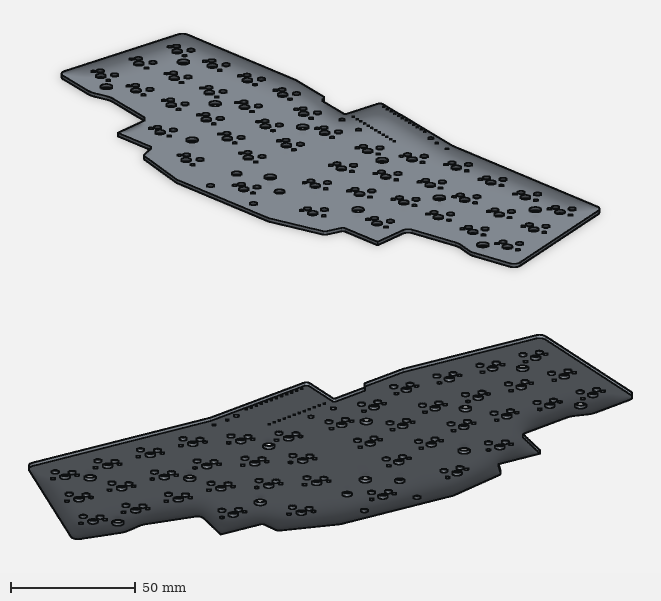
import cadquery as cq
import math


length = 253.3
depth = 107.2
thickness = 1.6
half_length = length / 2
half_depth = depth / 2

half_tilt = 10.0
column_stagger = 3.5
columns_before_peak = 3
column_count = 6
row_count = 3
column_span = 95.3
key_pitch = column_span / (column_count - 1)
first_key = (106.5, 31.5)

outer_thumb = (60.3, -26.9)
inner_thumb = (35.2, -38.0)
inner_thumb_tilt = 15.0
center_key = (0.0, -41.3)

stem_diameter = 4.0
pin_diameter = 3.0
peg_diameter = 1.75
pin_offsets = [(-3.8, 2.5), (2.5, 5.0)]
peg_reach = 5.0

stabilizer_reach = 12.0
stabilizer_large_diameter = 4.0
stabilizer_small_diameter = 3.0
stabilizer_large_rise = 8.4
stabilizer_small_drop = 6.8

screw_diameter = 4.8
side_screws = [(97.8, 26.0), (22.0, 16.2), (62.3, 7.3), (104.6, -11.7), (46.0, -23.0)]
center_screw = (0.0, -25.8)

controller_center = (1.3, 42.0)
pad_diameter = 0.8
pad_pitch = 2.5
pads_per_row = 12
pad_row_spacing = 15.2

component_hole_diameter = 2.2
component_holes = [(-15.2, 32.0), (-4.0, 30.0), (22.3, 44.3)]
lead_hole_diameter = 1.3
lead_holes = [(27.0, 42.8), (33.7, 41.8)]

top_edge = 45.3
thumb_edge = -39.0
corner_radius = 3.0
small_radius = 1.5
wave_radius = 7.5
thumb_notch_x = 53.2
chin_shoulder = (50.5, -46.9)
chin_half_width = 25.5
tab_tip_overhang = 0.3
tilt_slope = math.tan(math.radians(half_tilt))


def rotated(point, degrees):
    """Turn a point counterclockwise about the origin."""
    angle = math.radians(degrees)
    x, y = point
    return (
        x * math.cos(angle) - y * math.sin(angle),
        x * math.sin(angle) + y * math.cos(angle),
    )


def shifted(point, offset):
    return (point[0] + offset[0], point[1] + offset[1])


def mirrored(point):
    return (-point[0], point[1])


def side_corners():
    """Corners (x, y, radius) of the right half below the top edge, from top to bottom."""
    tilt = math.radians(half_tilt)
    overhang = corner_radius * (math.cos(tilt) + math.sin(tilt) - 1)
    outer_x = half_length + overhang
    outer_y = -16.0
    shoulder_x = outer_x - (top_edge - outer_y) * tilt_slope
    dip_x = 105.6
    crest_x = 96.8
    crest_y = -17.5
    thumb_x = 72.2
    return [
        (shoulder_x, top_edge, corner_radius),
        (outer_x, outer_y, corner_radius),
        (dip_x, outer_y - (outer_x - dip_x) * tilt_slope, wave_radius),
        (crest_x, crest_y, wave_radius),
        (thumb_x, crest_y - (crest_x - thumb_x) * tilt_slope, corner_radius),
        (thumb_x, thumb_edge, 0),
        (thumb_notch_x, thumb_edge, small_radius),
        (*chin_shoulder, small_radius),
        (chin_half_width, -half_depth, 0),
    ]


def top_corners():
    """Corners (x, y, radius) along the top, from left to right, with the controller tab."""
    left_bend_x = -53.7
    step_x = -34.2
    step_y = top_edge - (step_x - left_bend_x) * tilt_slope
    notch_x = -33.5
    notch_y = 39.0
    tab_foot_x = -17.7
    tab_foot_y = notch_y - (tab_foot_x - notch_x) * tilt_slope
    tab_top_y = half_depth + tab_tip_overhang
    tab_top_x = tab_foot_x + (tab_top_y - tab_foot_y) * tilt_slope
    right_bend_x = tab_top_x + (tab_top_y - top_edge) / tilt_slope
    return [
        (left_bend_x, top_edge, 0),
        (step_x, step_y, small_radius),
        (notch_x, notch_y, small_radius),
        (tab_foot_x, tab_foot_y, small_radius / 2),
        (tab_top_x, tab_top_y, small_radius),
        (right_bend_x, top_edge, 0),
    ]


def rounded_outline(corners):
    """Closed wire through the corners, each replaced by an arc of its own radius."""
    wire = None
    for i, (x, y, radius) in enumerate(corners):
        here = cq.Vector(x, y)
        to_last = (cq.Vector(*corners[i - 1][:2]) - here).normalized()
        to_next = (cq.Vector(*corners[(i + 1) % len(corners)][:2]) - here).normalized()
        half_angle = to_last.getAngle(to_next) / 2
        setback = radius / math.tan(half_angle)
        start = here + to_last * setback
        if wire is None:
            wire = cq.Workplane("XY").moveTo(start.x, start.y)
        else:
            wire = wire.lineTo(start.x, start.y)
        if radius > 0:
            bisector = (to_last + to_next).normalized()
            middle = here + bisector * (radius / math.sin(half_angle) - radius)
            end = here + to_next * setback
            wire = wire.threePointArc((middle.x, middle.y), (end.x, end.y))
    return wire.close()


def plate():
    right = side_corners()
    left = [(-x, y, radius) for x, y, radius in reversed(right)]
    return rounded_outline(top_corners() + right + left).extrude(thickness)


def block_keys():
    """Switch centres of the right key block."""
    centers = []
    column_top = first_key
    for column in range(column_count):
        for row in range(row_count):
            centers.append(shifted(column_top, rotated((0, -row * key_pitch), half_tilt)))
        rise = column_stagger if column < columns_before_peak else -column_stagger
        column_top = shifted(column_top, rotated((-key_pitch, rise), half_tilt))
    return centers


def all_keys():
    """Every switch as (centre, counterclockwise rotation)."""
    right = [(center, half_tilt) for center in block_keys()]
    right.append((outer_thumb, 0))
    right.append((inner_thumb, inner_thumb_tilt))
    left = [(mirrored(center), -turn) for center, turn in right]
    return right + left + [(center_key, 0)]


def placed(offsets, center, turn):
    return [shifted(center, rotated(offset, turn)) for offset in offsets]


def drilled(board, points, diameter):
    cutters = cq.Workplane("XY").pushPoints(points).circle(diameter / 2).extrude(thickness)
    return board.cut(cutters)


def drill_switches(board):
    stems = []
    pins = []
    pegs = []
    for center, turn in all_keys():
        stems.append(center)
        pins += placed(pin_offsets, center, turn)
        pegs += placed([(-peg_reach, 0), (peg_reach, 0)], center, turn)
    board = drilled(board, stems, stem_diameter)
    board = drilled(board, pins, pin_diameter)
    return drilled(board, pegs, peg_diameter)


def drill_stabilizer(board):
    sides = (-stabilizer_reach, stabilizer_reach)
    large = [shifted(center_key, (x, stabilizer_large_rise)) for x in sides]
    small = [shifted(center_key, (x, -stabilizer_small_drop)) for x in sides]
    board = drilled(board, large, stabilizer_large_diameter)
    return drilled(board, small, stabilizer_small_diameter)


def drill_screws(board):
    points = side_screws + [mirrored(point) for point in side_screws] + [center_screw]
    return drilled(board, points, screw_diameter)


def drill_controller(board):
    row_start = -(pads_per_row - 1) * pad_pitch / 2
    pads = []
    for row_y in (-pad_row_spacing / 2, pad_row_spacing / 2):
        pads += [(row_start + i * pad_pitch, row_y) for i in range(pads_per_row)]
    return drilled(board, placed(pads, controller_center, -half_tilt), pad_diameter)


board = plate()
board = drill_switches(board)
board = drill_stabilizer(board)
board = drill_screws(board)
board = drill_controller(board)
board = drilled(board, component_holes, component_hole_diameter)
result = drilled(board, lead_holes, lead_hole_diameter)